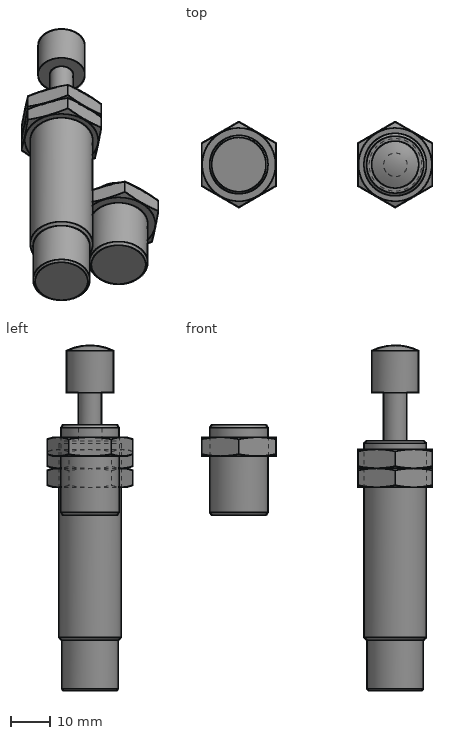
import cadquery as cq
import math

HEX_WIDTH = 19.0
NUT_HEIGHT = 4.9
HEX_CORNER_RADIUS = HEX_WIDTH / math.sqrt(3)
NUT_FACE_RADIUS = 9.4
NUT_CORNER_CHAMFER = 0.5

TOTAL_HEIGHT = 88.5
BARREL_RADIUS = 16.0 / 2
TAIL_RADIUS = 14.5 / 2
ROD_RADIUS = 6.0 / 2
CAP_RADIUS = 12.0 / 2
BARREL_BOTTOM = 13.0
BARREL_TOP = 64.1
CAP_BOTTOM = 76.4
CAP_HEIGHT = 10.7
CAP_RIM = CAP_BOTTOM + CAP_HEIGHT
BARREL_CHAMFER = 0.7
TAIL_CHAMFER = 0.5
UPPER_NUT_TOP = 61.9

AXIS_SPACING = 40.0
STOP_RADIUS = 15.0 / 2
STOP_BOTTOM = 45.0
STOP_LENGTH = 23.2
STOP_CHAMFER = 0.8
STOP_CHAMFER_WIDTH = 0.5
STOP_NUT_BOTTOM = 60.1

ABSORBER_X = AXIS_SPACING / 2
STOP_X = -AXIS_SPACING / 2


def revolve_about_z(profile):
    """Turn a closed radius-height profile into a solid about the Z axis."""
    return profile.close().revolve(360, (0, 0, 0), (0, 1, 0))


def make_absorber():
    """Tail, barrel, rod and domed cap as one turned solid."""
    dome_rise = TOTAL_HEIGHT - CAP_RIM
    dome_radius = (CAP_RADIUS**2 + dome_rise**2) / (2 * dome_rise)
    half_angle = math.asin(CAP_RADIUS / dome_radius) / 2
    dome_middle = (
        dome_radius * math.sin(half_angle),
        TOTAL_HEIGHT - dome_radius * (1 - math.cos(half_angle)),
    )
    profile = (
        cq.Workplane("XZ")
        .moveTo(0, 0)
        .lineTo(TAIL_RADIUS - TAIL_CHAMFER, 0)
        .lineTo(TAIL_RADIUS, TAIL_CHAMFER)
        .lineTo(TAIL_RADIUS, BARREL_BOTTOM)
        .lineTo(BARREL_RADIUS - BARREL_CHAMFER, BARREL_BOTTOM)
        .lineTo(BARREL_RADIUS, BARREL_BOTTOM + BARREL_CHAMFER)
        .lineTo(BARREL_RADIUS, BARREL_TOP - BARREL_CHAMFER)
        .lineTo(BARREL_RADIUS - BARREL_CHAMFER, BARREL_TOP)
        .lineTo(ROD_RADIUS, BARREL_TOP)
        .lineTo(ROD_RADIUS, CAP_BOTTOM)
        .lineTo(CAP_RADIUS, CAP_BOTTOM)
        .lineTo(CAP_RADIUS, CAP_RIM)
        .threePointArc(dome_middle, (0, TOTAL_HEIGHT))
    )
    return revolve_about_z(profile).translate((ABSORBER_X, 0, 0))


def make_stop_screw():
    """Plain cylinder chamfered at both ends."""
    return (
        cq.Workplane("XY")
        .circle(STOP_RADIUS)
        .extrude(STOP_LENGTH)
        .faces("<Z or >Z")
        .chamfer(STOP_CHAMFER, STOP_CHAMFER_WIDTH)
        .translate((STOP_X, 0, STOP_BOTTOM))
    )


def make_nut(x, bottom, bore_radius):
    """Hexagonal nut with two corners on Y and both ends turned conical."""
    hexagon = (
        cq.Workplane("XY")
        .polygon(6, 2 * HEX_CORNER_RADIUS)
        .extrude(NUT_HEIGHT)
        .rotate((0, 0, 0), (0, 0, 1), 90)
    )
    envelope = revolve_about_z(
        cq.Workplane("XZ")
        .moveTo(0, 0)
        .lineTo(NUT_FACE_RADIUS, 0)
        .lineTo(HEX_CORNER_RADIUS, NUT_CORNER_CHAMFER)
        .lineTo(HEX_CORNER_RADIUS, NUT_HEIGHT - NUT_CORNER_CHAMFER)
        .lineTo(NUT_FACE_RADIUS, NUT_HEIGHT)
        .lineTo(0, NUT_HEIGHT)
    )
    bore = cq.Workplane("XY").circle(bore_radius).extrude(NUT_HEIGHT)
    return hexagon.intersect(envelope).cut(bore).translate((x, 0, bottom))


absorber = make_absorber()
absorber_nuts = [
    make_nut(
        ABSORBER_X,
        UPPER_NUT_TOP - position * NUT_HEIGHT,
        BARREL_RADIUS,
    )
    for position in (1, 2)
]
stop_screw = make_stop_screw()
stop_nut = make_nut(STOP_X, STOP_NUT_BOTTOM, STOP_RADIUS)

result = cq.Compound.makeCompound(
    [absorber.val(), *[nut.val() for nut in absorber_nuts], stop_screw.val(), stop_nut.val()]
)